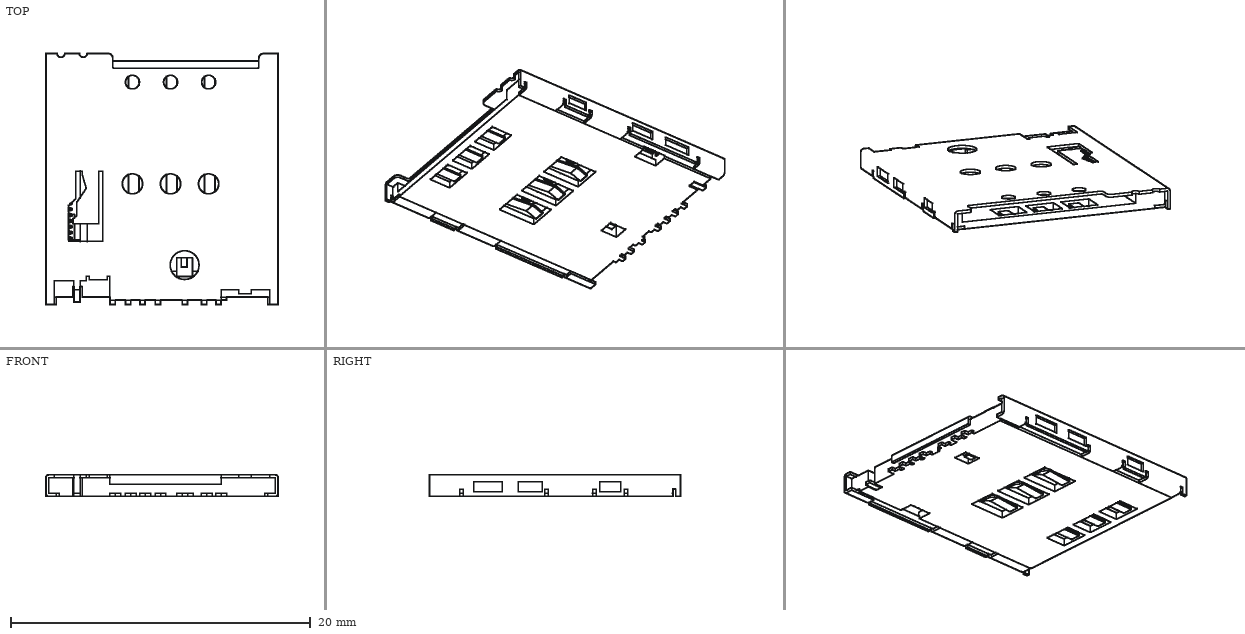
import cadquery as cq


WIDTH = 15.5
LENGTH = 16.75
HEIGHT = 1.45
SHEET = 0.2
BEND = 0.22
OVERCUT = 1.0

HALF_WIDTH = WIDTH / 2
COVER_FRONT = -LENGTH / 2
COVER_BACK = LENGTH / 2
INNER_HALF = HALF_WIDTH - SHEET
ROOF = HEIGHT - SHEET

HOUSING_FRONT = -7.88
HOUSING_BACK = 7.88
FLOOR = 0.5
CARD_LEFT = -4.98
CARD_RIGHT = 7.0
CARD_FRONT = -6.15
FLANGE_STEP = 6.84

LIP_LEFT = -3.47
LIP_RIGHT = 3.95
LIP_BOTTOM = 0.82
LIP_FRONT = HOUSING_FRONT - SHEET
SIDE_STRIP = 7.18
LEG_LEFT = -5.87
LEG_RIGHT = -5.46
LEG_BACK = -7.18
LEG_TOE = -8.21
MOUTH_LEFT = -3.27
MOUTH_RIGHT = 6.45
MOUTH_EDGE = 7.37
MOUTH_CORNER = 0.33
MOUTH_ROOT = 0.1
BACK_NOTCHES = (-6.74, -5.25)
BACK_NOTCH_RADIUS = 0.25
FRONT_FLANGE_REACH = 7.04
REAR_FLANGES = ((4.85, 7.85), (-0.45, 2.51))
FRONT_FLANGE = (COVER_FRONT, -6.34)
RELIEFS = ((7.85, 8.04), (4.62, 4.85), (2.51, 2.74), (-0.67, -0.45), (-6.34, -6.13))
RELIEF_HEIGHT = 0.49
WALL_WINDOWS = ((2.97, 4.38), (-2.45, -0.84), (-5.41, -3.52))
WINDOW_BOTTOM = 0.32
WINDOW_TOP = 0.98

COLUMN_PITCH = 2.54
COLUMNS = (-COLUMN_PITCH, 0, COLUMN_PITCH)
HOLE_X = 0.57
FRONT_HOLE_Y = -0.32
FRONT_HOLE_DIAMETER = 1.33
BACK_HOLE_Y = 6.46
BACK_HOLE_DIAMETER = 0.91
CONTACT_X = 0.65
CONTACT_WIDTH = 0.72
CONTACT_SHEET = 0.12
POCKET_WIDTH = 2.0
FRONT_POCKET = (-1.2, 1.6)
BACK_POCKET = (5.7, 7.27)
CONTACT_ROOT_TOP = 0.3

DETECT_X = 1.51
DETECT_Y = -5.74
DETECT_HOLE_DIAMETER = 1.92
DETECT_POCKET_WIDTH = 1.04
DETECT_POCKET = (-6.49, -5.26)
FINGER_LEFT = 1.27
FINGER_RIGHT = 1.68
FINGER_TIP = -5.88
FINGER_TOP = 0.4
FINGER_THICKNESS = 0.22
FINGER_ROUND = 0.2

TAIL_WIDTH = 0.36
TAIL_LEFTS = (-3.47, -2.44, -1.48, -0.46, 2.63, 3.59)
DETECT_TAIL_LEFT = 1.35

SLIDER_LEFT = -5.46
SLIDER_FRONT = -6.0
SLIDER_BACK = 2.5
CHANNEL_LEFT = -6.9
SPRING_FRONT = -4.06
SPRING_BACK = 1.2
HOOK_LENGTH = 0.6
CHANNEL_OPENING_RIGHT = -5.85
CHANNEL_OPENING_BACK = -2.36
SPRING_X = -6.35
SPRING_RADIUS = 0.32
SPRING_WIRE = 0.1
SPRING_TURNS = 13


def block(x_range, y_range, z_range):
    """Axis-aligned block between the given limits."""
    (x0, x1), (y0, y1), (z0, z1) = x_range, y_range, z_range
    return cq.Workplane("XY").box(x1 - x0, y1 - y0, z1 - z0, centered=False).translate((x0, y0, z0))


def both_sides(solid):
    """The solid together with its mirror image across the YZ plane."""
    return solid.union(solid.mirror("YZ"))


def through_cylinder(x, y, diameter):
    """Vertical cutter for a round hole in the cover roof."""
    below_roof = cq.Workplane("XY").workplane(offset=ROOF - SHEET)
    return below_roof.center(x, y).circle(diameter / 2).extrude(OVERCUT)


def roof_cutter(points):
    """Vertical cutter with a polygon outline that passes through the cover roof only."""
    return cq.Workplane("XY").workplane(offset=ROOF - SHEET).polyline(points).close().extrude(OVERCUT)


def cover_channel():
    """Roof with two side walls, open at both ends."""
    outside = block((-HALF_WIDTH, HALF_WIDTH), (COVER_FRONT, COVER_BACK), (0, HEIGHT))
    outside = outside.edges("|Y and >Z").fillet(BEND)
    inside = block(
        (-INNER_HALF, INNER_HALF), (COVER_FRONT - OVERCUT, COVER_BACK + OVERCUT), (-OVERCUT, ROOF)
    )
    return outside.cut(inside)


def bottom_flanges():
    """Wall feet bent inward under the housing, with relief slits beside them."""
    feet = cq.Workplane("XY")
    for y_range in REAR_FLANGES:
        feet = feet.add(block((-HALF_WIDTH, -FLANGE_STEP), y_range, (0, SHEET)))
    feet = feet.add(block((-HALF_WIDTH, -FRONT_FLANGE_REACH), FRONT_FLANGE, (0, SHEET)))
    return both_sides(feet.combine())


def flange_bends():
    """Material removed to round the outside of each flange bend."""
    corners = cq.Workplane("XY")
    for front, back in (*REAR_FLANGES, FRONT_FLANGE):
        square = block((-HALF_WIDTH, -INNER_HALF), (front, back), (0, SHEET))
        pin = cq.Workplane("XZ", origin=(-INNER_HALF, back, SHEET)).circle(SHEET).extrude(back - front)
        corners = corners.add(square.cut(pin))
    return both_sides(corners.combine())


def wall_openings():
    """Relief slits and windows in both side walls."""
    wall = (-HALF_WIDTH - OVERCUT, -INNER_HALF)
    openings = cq.Workplane("XY")
    for y_range in RELIEFS:
        openings = openings.add(block(wall, y_range, (-OVERCUT, RELIEF_HEIGHT)))
    for y_range in WALL_WINDOWS:
        openings = openings.add(block(wall, y_range, (WINDOW_BOTTOM, WINDOW_TOP)))
    return both_sides(openings.combine())


def front_cutout():
    """Stepped clearance along the front edge of the roof, leaving the lip and leg strips."""
    ahead = COVER_FRONT - OVERCUT
    left_edge = -6.77
    left_step = -6.49
    left_tooth = -6.70
    right_edge = -7.39
    right_tooth = -7.66
    beside_leg = roof_cutter(
        [(-SIDE_STRIP, ahead), (-SIDE_STRIP, left_edge), (LEG_LEFT, left_edge), (LEG_LEFT, ahead)]
    )
    left_of_lip = roof_cutter([
        (LEG_RIGHT, ahead),
        (LEG_RIGHT, left_edge),
        (-5.05, left_edge),
        (-5.05, left_step),
        (-4.85, left_step),
        (-4.85, left_tooth),
        (-3.64, left_tooth),
        (-3.64, left_step),
        (LIP_LEFT, left_step),
        (LIP_LEFT, ahead),
    ])
    right_of_lip = roof_cutter([
        (LIP_RIGHT, ahead),
        (LIP_RIGHT, right_edge),
        (5.12, right_edge),
        (5.12, right_tooth),
        (5.95, right_tooth),
        (5.95, right_edge),
        (SIDE_STRIP, right_edge),
        (SIDE_STRIP, ahead),
    ])
    before_lip = roof_cutter(
        [(LIP_LEFT, ahead), (LIP_LEFT, LIP_FRONT), (LIP_RIGHT, LIP_FRONT), (LIP_RIGHT, ahead)]
    )
    leg_front = LEG_BACK - SHEET
    before_leg = roof_cutter(
        [(LEG_LEFT, ahead), (LEG_LEFT, leg_front), (LEG_RIGHT, leg_front), (LEG_RIGHT, ahead)]
    )
    return beside_leg.union(left_of_lip).union(right_of_lip).union(before_lip).union(before_leg)


def bent_strip(x_range, inner_face, bottom):
    """Strip of roof edge bent down over the given inner face."""
    front = inner_face - SHEET
    return block(x_range, (front, inner_face), (bottom, HEIGHT))


def edge_round(x_range, front):
    """Material removed to round the outside of a bend along X at the roof."""
    x0, x1 = x_range
    square = block(x_range, (front, front + BEND), (HEIGHT - BEND, HEIGHT))
    pin = cq.Workplane("YZ", origin=(x0, front + BEND, HEIGHT - BEND)).circle(BEND).extrude(x1 - x0)
    return square.cut(pin)


def mouth_cutout():
    """Card mouth in the back edge of the roof, with rounded corners."""
    return (
        cq.Workplane("XY")
        .workplane(offset=ROOF - SHEET)
        .moveTo(MOUTH_LEFT - MOUTH_CORNER, COVER_BACK)
        .radiusArc((MOUTH_LEFT, COVER_BACK - MOUTH_CORNER), MOUTH_CORNER)
        .lineTo(MOUTH_LEFT, MOUTH_EDGE + MOUTH_ROOT)
        .radiusArc((MOUTH_LEFT + MOUTH_ROOT, MOUTH_EDGE), -MOUTH_ROOT)
        .lineTo(MOUTH_RIGHT - MOUTH_ROOT, MOUTH_EDGE)
        .radiusArc((MOUTH_RIGHT, MOUTH_EDGE + MOUTH_ROOT), -MOUTH_ROOT)
        .lineTo(MOUTH_RIGHT, COVER_BACK - MOUTH_CORNER)
        .radiusArc((MOUTH_RIGHT + MOUTH_CORNER, COVER_BACK), MOUTH_CORNER)
        .close()
        .extrude(OVERCUT)
    )


def latch_slot():
    """Slot round three sides of the sprung latch tongue, which stays joined at its back end."""
    back = 0.52
    front = -4.16
    tongue_tip = -2.99
    return roof_cutter([
        (-5.74, back),
        (-5.74, -1.29),
        (-6.22, -1.78),
        (-6.22, front),
        (-3.95, front),
        (-3.95, back),
        (-4.23, back),
        (-4.23, tongue_tip),
        (-5.94, tongue_tip),
        (-5.94, -2.65),
        (-5.67, -2.44),
        (-5.67, -1.53),
        (-5.05, -0.62),
        (-5.33, 0.34),
        (-5.33, back),
    ])


def make_cover():
    lip_span = (LIP_LEFT, LIP_RIGHT)
    leg_span = (LEG_LEFT, LEG_RIGHT)
    body = cover_channel().cut(wall_openings()).union(bottom_flanges()).cut(flange_bends())
    body = body.cut(front_cutout()).cut(mouth_cutout()).cut(latch_slot())
    body = body.union(bent_strip(lip_span, HOUSING_FRONT, LIP_BOTTOM))
    body = body.union(bent_strip(leg_span, LEG_BACK, 0))
    body = body.cut(edge_round(lip_span, LIP_FRONT)).cut(edge_round(leg_span, LEG_BACK - SHEET))
    body = body.union(block(leg_span, (LEG_TOE, LEG_BACK), (0, SHEET)))
    for x in BACK_NOTCHES:
        body = body.cut(through_cylinder(x, COVER_BACK, 2 * BACK_NOTCH_RADIUS))
    for offset in COLUMNS:
        body = body.cut(through_cylinder(HOLE_X + offset, FRONT_HOLE_Y, FRONT_HOLE_DIAMETER))
        body = body.cut(through_cylinder(HOLE_X + offset, BACK_HOLE_Y, BACK_HOLE_DIAMETER))
    return body.cut(through_cylinder(DETECT_X, DETECT_Y, DETECT_HOLE_DIAMETER))


def housing_shell():
    """Tray with the card space, the slider guide, the spring channel and the leg notch."""
    above = ROOF + OVERCUT
    through = (-OVERCUT, above)
    leg_notch = (-5.94, -5.33)
    body = block((-INNER_HALF, INNER_HALF), (HOUSING_FRONT, HOUSING_BACK), (0, ROOF))
    body = body.cut(
        block((CARD_LEFT, CARD_RIGHT), (CARD_FRONT, HOUSING_BACK + OVERCUT), (FLOOR, above))
    )
    body = body.cut(block((SLIDER_LEFT, CARD_LEFT), (SLIDER_FRONT, HOUSING_BACK + OVERCUT), (FLOOR, above)))
    body = body.cut(
        block((CHANNEL_LEFT, SLIDER_LEFT), (SPRING_FRONT, SPRING_BACK + HOOK_LENGTH), (FLOOR, above))
    )
    body = body.cut(
        block((CHANNEL_LEFT, CHANNEL_OPENING_RIGHT), (SPRING_FRONT, CHANNEL_OPENING_BACK), through)
    )
    body = body.cut(block(leg_notch, (HOUSING_FRONT - OVERCUT, LEG_BACK), through))
    step = block(
        (-HALF_WIDTH, -FLANGE_STEP), (HOUSING_FRONT - OVERCUT, HOUSING_BACK + OVERCUT), (-OVERCUT, SHEET)
    )
    return body.cut(both_sides(step))


def floor_pocket(x, width, y_range):
    """Cutter for an opening through the housing, centred on x."""
    return block((x - width / 2, x + width / 2), y_range, (-OVERCUT, ROOF + OVERCUT))


def front_contact(x):
    """Strip rising gently from the back of its pocket to a rounded crest, then falling to a free end."""
    root = (FRONT_POCKET[1], CONTACT_ROOT_TOP)
    crest_back = (-0.17, 0.45)
    crest_top = (-0.36, 0.43)
    crest_front = (-0.5, 0.38)
    free_end = (-1.05, 0.13)
    t = CONTACT_SHEET
    return (
        cq.Workplane("YZ", origin=(x - CONTACT_WIDTH / 2, 0, 0))
        .moveTo(*root)
        .lineTo(*crest_back)
        .threePointArc(crest_top, crest_front)
        .lineTo(*free_end)
        .lineTo(free_end[0] + t / 2, free_end[1] - t)
        .lineTo(crest_front[0] + t / 2, crest_front[1] - t)
        .lineTo(crest_back[0], crest_back[1] - t)
        .lineTo(root[0], root[1] - t)
        .close()
        .extrude(CONTACT_WIDTH)
    )


def back_contact(x):
    """Flat strip across its pocket."""
    span = (x - CONTACT_WIDTH / 2, x + CONTACT_WIDTH / 2)
    return block(span, BACK_POCKET, (CONTACT_ROOT_TOP - CONTACT_SHEET, CONTACT_ROOT_TOP))


def detect_finger():
    """Short finger reaching over the detect pocket, with its tip rounded downward."""
    finger = block(
        (FINGER_LEFT, FINGER_RIGHT),
        (FINGER_TIP, DETECT_POCKET[1]),
        (FINGER_TOP - FINGER_THICKNESS, FINGER_TOP),
    )
    return finger.edges("|X and >Z and <Y").fillet(FINGER_ROUND)


def solder_tail(left, root_left, root_right):
    """Tail reaching the cover front from a wider root just ahead of the housing."""
    tail = block((left, left + TAIL_WIDTH), (COVER_FRONT, HOUSING_FRONT), (0, SHEET))
    return tail.union(block((root_left, root_right), (LIP_FRONT, HOUSING_FRONT), (0, SHEET)))


def make_housing():
    body = housing_shell()
    for offset in COLUMNS:
        contact_x = CONTACT_X + offset
        for pocket in (FRONT_POCKET, BACK_POCKET):
            body = body.cut(floor_pocket(HOLE_X + offset, POCKET_WIDTH, pocket))
        body = body.union(front_contact(contact_x)).union(back_contact(contact_x))
    body = body.cut(floor_pocket(DETECT_X, DETECT_POCKET_WIDTH, DETECT_POCKET)).union(detect_finger())
    for left in TAIL_LEFTS:
        body = body.union(solder_tail(left, left, left + 2 * TAIL_WIDTH))
    detect_root = DETECT_TAIL_LEFT - TAIL_WIDTH
    return body.union(solder_tail(DETECT_TAIL_LEFT, detect_root, detect_root + 3 * TAIL_WIDTH))


def make_slider():
    """Bar beside the card space with a hook behind the spring."""
    bar = block((SLIDER_LEFT, CARD_LEFT), (SLIDER_FRONT, SLIDER_BACK), (FLOOR, ROOF))
    hook = block((CHANNEL_LEFT, SLIDER_LEFT), (SPRING_BACK, SPRING_BACK + HOOK_LENGTH), (FLOOR, ROOF))
    return bar.union(hook)


def make_spring():
    """Coil spring between the channel's front wall and the slider hook."""
    coil_length = SPRING_BACK - SPRING_FRONT - 2 * SPRING_WIRE
    helix = cq.Wire.makeHelix(coil_length / SPRING_TURNS, coil_length, SPRING_RADIUS)
    wire_section = cq.Workplane("XZ", origin=(SPRING_RADIUS, 0, 0)).circle(SPRING_WIRE / 2)
    coil = wire_section.sweep(helix, isFrenet=True)
    middle_height = (FLOOR + ROOF) / 2
    coil = coil.rotate((0, 0, 0), (1, 0, 0), -90)
    return coil.translate((SPRING_X, SPRING_FRONT + SPRING_WIRE, middle_height))


cover = make_cover()
housing = make_housing()
slider = make_slider()
spring = make_spring()

result = cq.Compound.makeCompound([cover.val(), housing.val(), slider.val(), spring.val()])